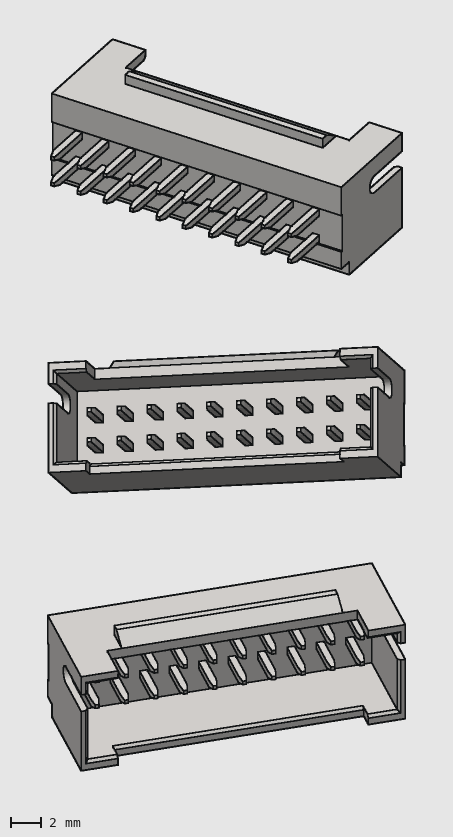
import cadquery as cq
import math

body_length = 22.0
body_depth = 7.68
body_height = 7.3
half_length = body_length / 2

step_size = 1.0
recess_depth = 0.13
recess_top_drop = 2.2
recess_bottom_drop = 5.0

side_wall = 0.5
top_wall = 0.7
bottom_wall = top_wall
cavity_depth = 6.0
lead_in = 0.2

shoulder_length = 2.5
top_notch_depth = 2.5
bottom_notch_depth = 1.05
slot_top_drop = 1.4
slot_height = 1.28
slot_depth = 4.1

latch_inset = 3.5
latch_height = 0.7
latch_crest_start = 3.72
latch_back = 4.22

pin_rows = 2
pins_per_row = 10
pin_pitch = body_length / (pins_per_row + 1)
pin_size = 0.5
pin_tip_size = 0.26
pin_taper = 0.53
pin_protrusion = 3.21
pin_front_setback = 3.1
upper_row_drop = 2.6

notch_length = body_length - 2 * shoulder_length


def box_between(x_range, y_range, z_range):
    """Axis-aligned box given its limits along each axis."""
    (x0, x1), (y0, y1), (z0, z1) = x_range, y_range, z_range
    return cq.Workplane("XY").box(x1 - x0, y1 - y0, z1 - z0, centered=False).translate((x0, y0, z0))


def extrude_along_length(yz_points, length):
    """Prism with a Y-Z outline, centred on X = 0."""
    return cq.Workplane("YZ").polyline(yz_points).close().extrude(length / 2, both=True)


def make_body():
    """Solid housing block with its rear recess and lower rear step."""
    recess_top = body_height - recess_top_drop
    recess_bottom = body_height - recess_bottom_drop
    outline = [
        (step_size, 0),
        (body_depth, 0),
        (body_depth, body_height),
        (0, body_height),
        (0, recess_top),
        (recess_depth, recess_top),
        (recess_depth, recess_bottom),
        (0, recess_bottom),
        (0, step_size),
        (step_size, step_size),
    ]
    return extrude_along_length(outline, body_length)


def make_cavity():
    """Rectangular pocket open to +Y, flared at its mouth."""
    width = body_length - 2 * side_wall
    height = body_height - top_wall - bottom_wall
    mid_height = bottom_wall + height / 2
    pocket = box_between(
        (-width / 2, width / 2),
        (body_depth - cavity_depth, body_depth),
        (bottom_wall, body_height - top_wall),
    )
    flare = (
        cq.Workplane("XZ", origin=(0, body_depth, mid_height))
        .rect(width + 2 * lead_in, height + 2 * lead_in)
        .workplane(offset=lead_in)
        .rect(width, height)
        .loft()
    )
    return pocket.union(flare)


def make_top_notch():
    """Opening in the front edge of the top wall."""
    return box_between(
        (-notch_length / 2, notch_length / 2),
        (body_depth - top_notch_depth, body_depth),
        (body_height - top_wall, body_height),
    )


def make_bottom_notch():
    """Opening in the front edge of the bottom wall, leaving a bevelled inner edge."""
    edge = body_depth - bottom_notch_depth
    outline = [
        (edge, 0),
        (body_depth, 0),
        (body_depth, bottom_wall),
        (edge - lead_in, bottom_wall),
        (edge, bottom_wall - lead_in),
    ]
    return extrude_along_length(outline, notch_length)


def make_side_slot():
    """Round-ended slot through both side walls, open to +Y."""
    radius = slot_height / 2
    top = body_height - slot_top_drop
    bottom = top - slot_height
    end = body_depth - slot_depth
    return (
        cq.Workplane("YZ")
        .moveTo(body_depth, bottom)
        .lineTo(end + radius, bottom)
        .threePointArc((end, bottom + radius), (end + radius, top))
        .lineTo(body_depth, top)
        .close()
        .extrude(half_length, both=True)
    )


def make_latch():
    """Wedge-shaped ridge that rises from the top notch to a flat crest."""
    crest = body_height + latch_height
    outline = [
        (body_depth - top_notch_depth, body_height),
        (body_depth - latch_crest_start, crest),
        (body_depth - latch_back, crest),
        (body_depth - latch_back, body_height),
    ]
    return extrude_along_length(outline, body_length - 2 * latch_inset)


def make_pins():
    """Grid of square pins along Y, each with a tapered tip at both ends."""
    upper_row = body_height - upper_row_drop
    first_column = pin_pitch - half_length
    centres = [
        (first_column + column * pin_pitch, upper_row - row * pin_pitch)
        for row in range(pin_rows)
        for column in range(pins_per_row)
    ]
    rear_shoulder = pin_taper - pin_protrusion
    front_shoulder = body_depth - pin_front_setback - pin_taper
    taper_angle = math.degrees(math.atan2((pin_size - pin_tip_size) / 2, pin_taper))

    def squares_at(y):
        return cq.Workplane("XZ", origin=(0, y, 0)).pushPoints(centres).rect(pin_size, pin_size)

    shanks = squares_at(front_shoulder).extrude(front_shoulder - rear_shoulder)
    rear_tips = squares_at(rear_shoulder).extrude(pin_taper, taper=taper_angle)
    front_tips = squares_at(front_shoulder).extrude(-pin_taper, taper=taper_angle)
    return shanks.union(rear_tips).union(front_tips)


result = (
    make_body()
    .cut(make_cavity())
    .cut(make_top_notch())
    .cut(make_bottom_notch())
    .cut(make_side_slot())
    .union(make_latch())
    .union(make_pins())
)